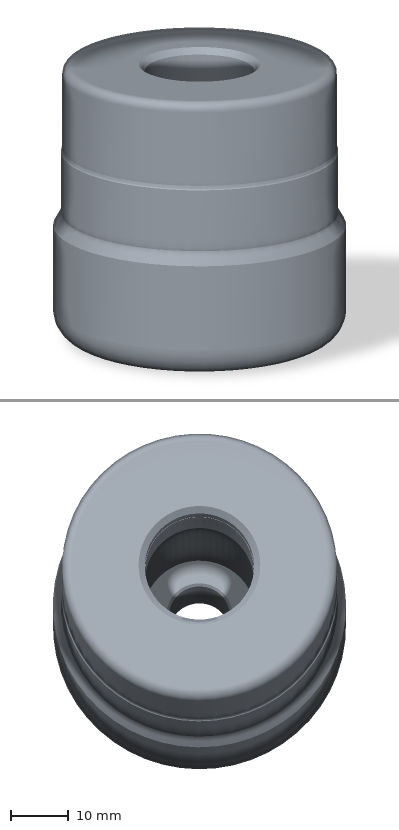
import cadquery as cq
import math

total_height = 49.29
seam_height = 33.9

cavity_radius = 9.8
cavity_depth = 11.45
cavity_top_height = total_height - cavity_depth

base_radius = 25.4
base_fillet = 5.08
neck_radius = 24.05
neck_edge_break = 0.25
shoulder_angle = 30
shoulder_low_height = 20.32
shoulder_rise = (base_radius - neck_radius) / math.tan(math.radians(shoulder_angle))
shoulder_high_height = shoulder_low_height + shoulder_rise

floor_thickness = 12.7
screw_hole_radius = 5.3
screw_hole_chamfer = 0.45

cap_radius = 23.81
cap_fillet = 1.5875
flare_height = 0.5
flare_radius = 23.95

mouth_radius = 10.55
mouth_chamfer_depth = 1.05
lead_in_radius = 9.47
lead_in_depth = 3.4
bore_radius = 9.42


def turned(profile):
    """Close a profile drawn in radius and height and revolve it about the Z axis."""
    return profile.close().revolve(360, (0, 0, 0), (0, 1, 0))


def fillet_inset(radius):
    """Distance of a fillet arc's midpoint from each of its two tangent faces."""
    return radius * (1 - math.sqrt(0.5))


def make_base():
    """Rounded cup with a stepped neck, an open cavity and a hole through its floor."""
    inset = fillet_inset(base_fillet)
    return turned(
        cq.Workplane("XZ")
        .moveTo(screw_hole_radius, 0)
        .lineTo(base_radius - base_fillet, 0)
        .threePointArc((base_radius - inset, inset), (base_radius, base_fillet))
        .lineTo(base_radius, shoulder_low_height)
        .lineTo(neck_radius, shoulder_high_height)
        .lineTo(neck_radius, seam_height - neck_edge_break)
        .lineTo(neck_radius - neck_edge_break, seam_height)
        .lineTo(cavity_radius, seam_height)
        .lineTo(cavity_radius, floor_thickness)
        .lineTo(screw_hole_radius + screw_hole_chamfer, floor_thickness)
        .lineTo(screw_hole_radius, floor_thickness - screw_hole_chamfer)
    )


def make_cap():
    """Thick ring with a rounded top edge and a stepped bore."""
    inset = fillet_inset(cap_fillet)
    return turned(
        cq.Workplane("XZ")
        .moveTo(cavity_radius, seam_height)
        .lineTo(flare_radius, seam_height)
        .lineTo(cap_radius, seam_height + flare_height)
        .lineTo(cap_radius, total_height - cap_fillet)
        .threePointArc(
            (cap_radius - inset, total_height - inset),
            (cap_radius - cap_fillet, total_height),
        )
        .lineTo(mouth_radius, total_height)
        .lineTo(lead_in_radius, total_height - mouth_chamfer_depth)
        .lineTo(lead_in_radius, total_height - lead_in_depth)
        .lineTo(bore_radius, total_height - lead_in_depth)
        .lineTo(bore_radius, cavity_top_height)
        .lineTo(cavity_radius, cavity_top_height)
    )


base = make_base()
cap = make_cap()

result = cq.Compound.makeCompound([base.val(), cap.val()])